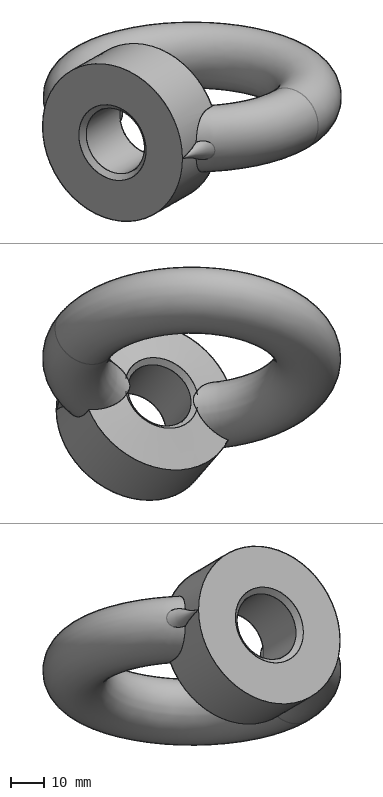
import cadquery as cq
import math

ring_size = 90.0
tube_diameter = 20.0
tube_radius = tube_diameter / 2
ring_radius = ring_size / 2 - tube_radius
ring_center_y = ring_size / 2

base_radius = 50.0 / 2
base_height = 20.0
cone_angle = 10.0

bore_radius = 20.8 / 2
mouth_radius = 24.0 / 2
chamfer_size = mouth_radius - bore_radius

web_height = 11.1
web_reach = math.sqrt((ring_size / 2) ** 2 - (ring_center_y - web_height) ** 2)
web_mid_offset = 1.7
web_mid_height = 5.85

top_height = base_height + (base_radius - mouth_radius) * math.tan(math.radians(cone_angle))


def make_ring():
    return cq.Workplane(cq.Solid.makeTorus(
        ring_radius, tube_radius, cq.Vector(0, ring_center_y, 0), cq.Vector(0, 0, 1)))


def make_base():
    """Cylinder with a shallow conical shoulder."""
    outline = (
        cq.Workplane("XY")
        .lineTo(base_radius, 0)
        .lineTo(base_radius, base_height)
        .lineTo(mouth_radius, top_height)
        .lineTo(0, top_height)
        .close()
    )
    return outline.revolve(360, (0, 0), (0, 1))


def make_bore():
    """Through bore with a chamfer at each end."""
    outline = (
        cq.Workplane("XY")
        .lineTo(mouth_radius, 0)
        .lineTo(bore_radius, chamfer_size)
        .lineTo(bore_radius, top_height - chamfer_size)
        .lineTo(mouth_radius, top_height)
        .lineTo(0, top_height)
        .close()
    )
    return outline.revolve(360, (0, 0), (0, 1))


def make_web():
    """Flared spike revolved about a line on the +X side of the base."""
    outline = (
        cq.Workplane("XY")
        .moveTo(base_radius, 0)
        .threePointArc((base_radius + web_mid_offset, web_mid_height), (web_reach, web_height))
        .lineTo(base_radius, web_height)
        .close()
    )
    return outline.revolve(360, (base_radius, 0), (base_radius, 1))


web = make_web()
result = make_ring().union(make_base()).union(web).union(web.mirror("YZ")).cut(make_bore())